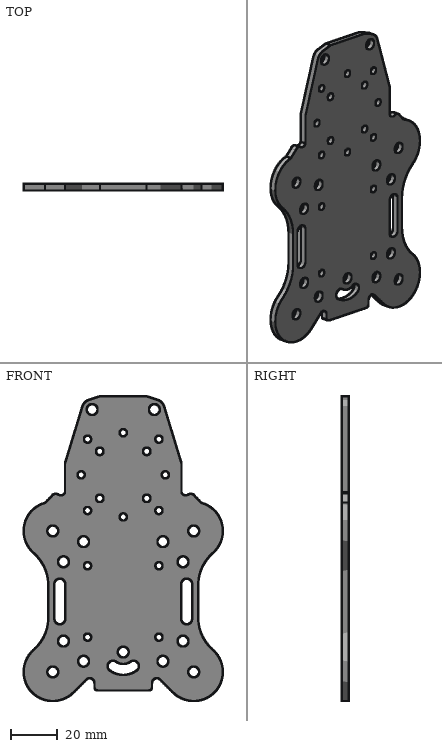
import cadquery as cq
import math

thickness = 3.0
arm_offset = 30.0
arm_radius = 12.5
top_z = 87.5
bottom_z = -38.0
front_centre_z = 54.0

nose_half_width = 10.0
nose_hole_x = 13.3
nose_hole_z = 81.8
nose_corner_radius = 4.4
nose_top_angle = math.radians(106)
nose_side_angle = math.radians(163)
neck_half_width = 24.8
neck_top_z = 59.1

hollow_start_z = 46.6
hollow_bottom = (-26.0, 45.4)
hollow_end = (-27.7, 45.7)
hump_peak = (-29.1, 45.9)
hump_end = (-30.7, 44.8)
shoulder_x = -33.3

waist_half_width = 32.0
waist_radius = 18.2

tail_half_width = 12.4
tail_corner_radius = 1.4
notch_radius = 2.0

large_hole = 4.5
medium_hole = 3.1
small_hole = 3.0
stack_offset = 15.2
inner_offset = 10.0
cross_offset = 18.0
arm_hole_near = 16.9
arm_hole_far = 25.5
side_slot_x = 27.0
side_slot_length = 19.4
slot_width = 4.5
pivot_z = -21.6
arc_slot_radius = 7.4
arc_slot_half_angle = 36


def on_circle(centre, radius, angle):
    return (centre[0] + radius * math.cos(angle), centre[1] + radius * math.sin(angle))


def half_plate():
    """Left half of the plate, drawn from the top centre down to the bottom centre."""
    nose = (-nose_hole_x, nose_hole_z)
    upper_arm = (-arm_offset, arm_offset)
    lower_arm = (-arm_offset, -arm_offset)
    diagonal = math.radians(45)

    shoulder_angle = math.acos((shoulder_x + arm_offset) / arm_radius)

    waist_x = -(waist_half_width + waist_radius)
    waist_dx = waist_x + arm_offset
    waist_drop = math.sqrt((arm_radius + waist_radius) ** 2 - waist_dx**2)
    waist_z = arm_offset - waist_drop
    waist_turn = math.atan2(waist_drop, -waist_dx)
    arm_waist_angle = math.pi + waist_turn

    notch_x = -(tail_half_width + notch_radius)
    notch_z = notch_x - math.sqrt(2) * (arm_radius + notch_radius)
    notch = (notch_x, notch_z)

    tail_corner = (-tail_half_width + tail_corner_radius, bottom_z + tail_corner_radius)

    outline = (
        cq.Workplane("XZ")
        .moveTo(0, top_z)
        .lineTo(-nose_half_width, top_z)
        .lineTo(*on_circle(nose, nose_corner_radius, nose_top_angle))
        .threePointArc(
            on_circle(nose, nose_corner_radius, (nose_top_angle + nose_side_angle) / 2),
            on_circle(nose, nose_corner_radius, nose_side_angle),
        )
        .lineTo(-neck_half_width, neck_top_z)
        .lineTo(-neck_half_width, hollow_start_z)
        .threePointArc(hollow_bottom, hollow_end)
        .threePointArc(hump_peak, hump_end)
        .lineTo(*on_circle(upper_arm, arm_radius, shoulder_angle))
        .threePointArc(
            on_circle(upper_arm, arm_radius, (shoulder_angle + arm_waist_angle) / 2),
            on_circle(upper_arm, arm_radius, arm_waist_angle),
        )
        .threePointArc(
            on_circle((waist_x, waist_z), waist_radius, waist_turn / 2),
            (-waist_half_width, waist_z),
        )
        .lineTo(-waist_half_width, -waist_z)
        .threePointArc(
            on_circle((waist_x, -waist_z), waist_radius, -waist_turn / 2),
            on_circle(lower_arm, arm_radius, -arm_waist_angle),
        )
        .threePointArc(
            on_circle(lower_arm, arm_radius, math.pi + diagonal),
            on_circle(lower_arm, arm_radius, -diagonal),
        )
        .lineTo(*on_circle(notch, notch_radius, math.pi - diagonal))
        .threePointArc(
            on_circle(notch, notch_radius, diagonal),
            (-tail_half_width, notch_z),
        )
        .lineTo(-tail_half_width, tail_corner[1])
        .threePointArc(
            on_circle(tail_corner, tail_corner_radius, math.pi + diagonal),
            (tail_corner[0], bottom_z),
        )
        .lineTo(0, bottom_z)
        .close()
    )
    return outline.extrude(-thickness)


def hole_cutters(points, diameter):
    return cq.Workplane("XZ").pushPoints(points).circle(diameter / 2).extrude(-thickness)


def corners(x, z, centre_z=0):
    return [(sx * x, centre_z + sz * z) for sx in (-1, 1) for sz in (-1, 1)]


def side_slots():
    centres = [(-side_slot_x, 0), (side_slot_x, 0)]
    slots = cq.Workplane("XZ").pushPoints(centres).slot2D(side_slot_length, slot_width, 90)
    return slots.extrude(-thickness)


def arc_slot():
    """Round-ended slot curved about the pivot hole."""
    pivot = (0, pivot_z)
    inner = arc_slot_radius - slot_width / 2
    outer = arc_slot_radius + slot_width / 2
    down = math.radians(-90)
    left = down - math.radians(arc_slot_half_angle)
    right = down + math.radians(arc_slot_half_angle)
    band = (
        cq.Workplane("XZ")
        .moveTo(*on_circle(pivot, inner, left))
        .threePointArc(on_circle(pivot, inner, down), on_circle(pivot, inner, right))
        .lineTo(*on_circle(pivot, outer, right))
        .threePointArc(on_circle(pivot, outer, down), on_circle(pivot, outer, left))
        .close()
        .extrude(-thickness)
    )
    ends = [on_circle(pivot, arc_slot_radius, angle) for angle in (left, right)]
    return band.union(hole_cutters(ends, slot_width))


large_points = (
    corners(arm_offset, arm_offset)
    + corners(arm_hole_near, arm_hole_far)
    + corners(arm_hole_far, arm_hole_near)
    + [(-nose_hole_x, nose_hole_z), (nose_hole_x, nose_hole_z), (0, pivot_z)]
)
medium_points = corners(inner_offset, inner_offset, front_centre_z)
cross_points = [
    on_circle((0, front_centre_z), cross_offset, math.radians(angle))
    for angle in (0, 90, 180, 270)
]
small_points = (
    corners(stack_offset, stack_offset)
    + corners(stack_offset, stack_offset, front_centre_z)
    + cross_points
)

left_half = half_plate()
plate = left_half.union(left_half.mirror("YZ")).clean()
for points, diameter in (
    (large_points, large_hole),
    (medium_points, medium_hole),
    (small_points, small_hole),
):
    plate = plate.cut(hole_cutters(points, diameter))

result = plate.cut(side_slots()).cut(arc_slot())